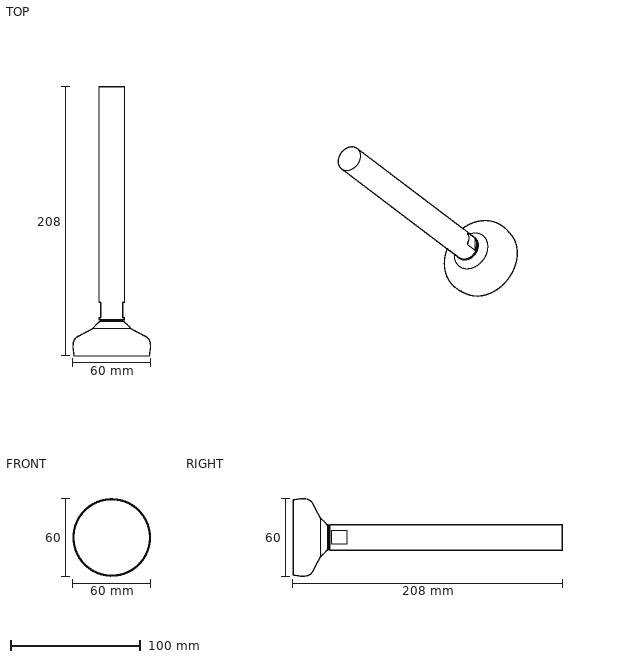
import cadquery as cq
import math

TOTAL_LENGTH = 208.0
HALF_LENGTH = TOTAL_LENGTH / 2

FOOT_RADIUS = 30.0
UNDERSIDE_RADIUS = 29.1
TAPER_HEIGHT = 5.8
BAND_TOP_HEIGHT = 9.0
SHOULDER_RADIUS = 25.2
SHOULDER_HEIGHT = 15.8
WAIST_RADIUS = 15.0
DOME_BULGE = 0.2
WAIST_HEIGHT = 21.2
DOME_TOP_RADIUS = 9.4
DOME_TOP_HEIGHT = 26.6
FOOT_HEIGHT = 27.0

ROD_RADIUS = 10.0
GROOVE_RADIUS = 7.5
GROOVE_HEIGHT = 27.9
GROOVE_TOP_HEIGHT = 28.5
FLATS_BOTTOM_HEIGHT = 29.7
FLATS_LENGTH = 11.9
ACROSS_FLATS = 17.0


def make_foot():
    """Bell-shaped foot, turned about Y, with a sharp lip under the rod."""
    rise = SHOULDER_HEIGHT - BAND_TOP_HEIGHT
    inset = FOOT_RADIUS - SHOULDER_RADIUS
    round_radius = (rise**2 + inset**2) / (2 * inset)
    half_sweep = math.atan2(inset, rise)
    round_mid = (
        FOOT_RADIUS - round_radius * (1 - math.cos(half_sweep)),
        BAND_TOP_HEIGHT + round_radius * math.sin(half_sweep),
    )
    dome_mid = (
        (WAIST_RADIUS + DOME_TOP_RADIUS) / 2 + DOME_BULGE,
        (WAIST_HEIGHT + DOME_TOP_HEIGHT) / 2 + DOME_BULGE,
    )
    profile = (
        cq.Workplane("XY")
        .lineTo(UNDERSIDE_RADIUS, 0)
        .lineTo(FOOT_RADIUS, TAPER_HEIGHT)
        .lineTo(FOOT_RADIUS, BAND_TOP_HEIGHT)
        .threePointArc(round_mid, (SHOULDER_RADIUS, SHOULDER_HEIGHT))
        .lineTo(WAIST_RADIUS, WAIST_HEIGHT)
        .threePointArc(dome_mid, (DOME_TOP_RADIUS, DOME_TOP_HEIGHT))
        .lineTo(ROD_RADIUS, FOOT_HEIGHT)
        .lineTo(0, FOOT_HEIGHT)
        .close()
    )
    return profile.revolve(360, (0, 0, 0), (0, 1, 0)).translate((0, -HALF_LENGTH, 0))


def make_rod():
    """Round rod with a V groove at its foot end and two wrench flats facing -X and +X."""
    profile = (
        cq.Workplane("XY")
        .moveTo(0, FOOT_HEIGHT)
        .lineTo(ROD_RADIUS, FOOT_HEIGHT)
        .lineTo(GROOVE_RADIUS, GROOVE_HEIGHT)
        .lineTo(ROD_RADIUS, GROOVE_TOP_HEIGHT)
        .lineTo(ROD_RADIUS, TOTAL_LENGTH)
        .lineTo(0, TOTAL_LENGTH)
        .close()
    )
    rod = profile.revolve(360, (0, 0, 0), (0, 1, 0))

    flats_middle = FLATS_BOTTOM_HEIGHT + FLATS_LENGTH / 2
    cutter_width = ROD_RADIUS
    cutter_offset = (ACROSS_FLATS + cutter_width) / 2
    for side in (-1, 1):
        cutter = cq.Workplane("XY").box(cutter_width, FLATS_LENGTH, 2 * ROD_RADIUS)
        rod = rod.cut(cutter.translate((side * cutter_offset, flats_middle, 0)))
    return rod.translate((0, -HALF_LENGTH, 0))


foot = make_foot()
rod = make_rod()

result = cq.Compound.makeCompound([foot.val(), rod.val()])